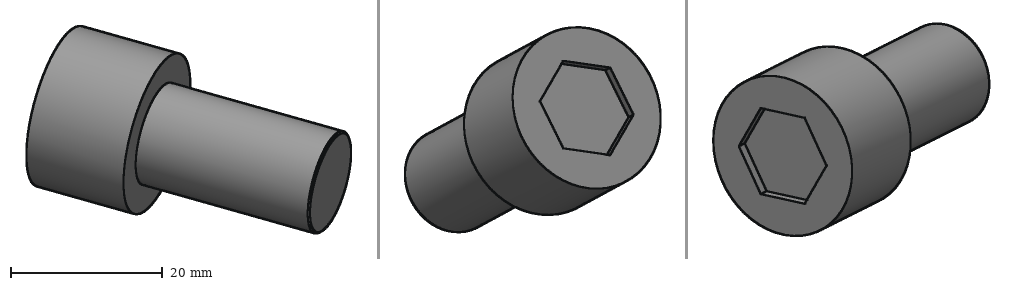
import cadquery as cq
import math

total_length = 39.0
head_diameter = 22.0
head_length = 14.0
shank_diameter = 14.0
tip_chamfer = 0.25
socket_across_flats = 12.0
socket_depth = 1.4

shank_length = total_length - head_length
socket_across_corners = socket_across_flats / math.cos(math.pi / 6)

head = cq.Workplane("YZ").circle(head_diameter / 2).extrude(head_length)

shank = (
    cq.Workplane("YZ", origin=(head_length, 0, 0))
    .circle(shank_diameter / 2)
    .extrude(shank_length)
    .faces(">X")
    .chamfer(tip_chamfer)
)

socket = cq.Workplane("YZ").polygon(6, socket_across_corners).extrude(socket_depth)

result = head.union(shank).cut(socket)